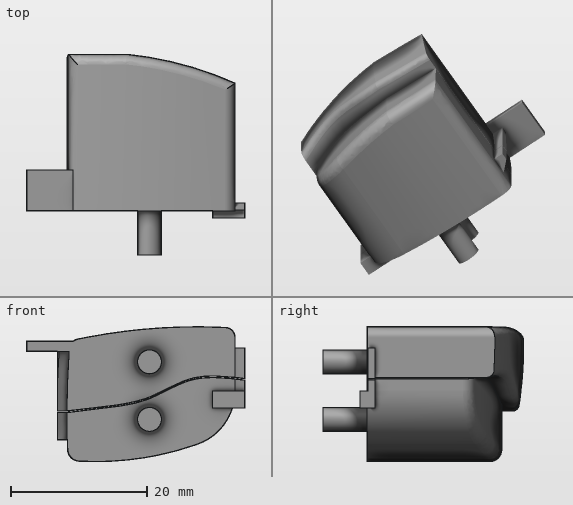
import cadquery as cq
import math


pin_diameter = 3.5
pin_length = 6.5
pin_spacing = 8.44

wall_left = -12.1
wall_left_z = 0.3
wall_left_radius = 142.0
wall_right = 12.55
roof_peak_x = 7.0
roof_peak_z = 13.59
roof_radius = 86.0
base_height = -6.2
base_peak_x = -7.9
base_radius = 45.0
top_fillet = 1.5
bottom_fillet = 1.8
bottom_right_fillet = 8.3

back_y = 22.94
round_start_x = -3.2
round_radius = 52.0
round_start_angle = math.radians(6.0)
lean_height = 10.6
lean_radius = 55.0
lower_inset = 3.2
upper_edge_fillet = 1.0
rear_start = 15.0

gap = 0.2
gap_curve = [
    (wall_left, 1.12), (-8.0, 1.6), (-4.0, 2.12), (0.0, 3.15),
    (3.5, 4.85), (6.5, 5.98), (9.5, 6.25), (14.0, 5.86),
]

plate_left = -18.02
plate_top = 11.46
plate_thickness = 1.5
plate_depth = 6.0

rib_left = -13.5
rib_front = 3.48
rib_back = 4.45
rib_bottom = -3.0
gusset_front = 2.0
gusset_reach = 1.47
root = 1.0

tab_right = 13.99
tab_top = 10.5
tab_front = 0.1
tab_back = 1.16
tab_bottom = 1.65
block_left = 9.24
block_top = 4.18
block_depth = 1.06

margin = 40.0


def box(x_range, y_range, z_range):
    sizes = [end - start for start, end in (x_range, y_range, z_range)]
    corner = (x_range[0], y_range[0], z_range[0])
    return cq.Workplane("XY").box(*sizes, centered=False).translate(corner)


def wall_left_x(z):
    """Position of the bowed left wall at a height."""
    rise = z - wall_left_z
    return wall_left + wall_left_radius - math.sqrt(wall_left_radius**2 - rise**2)


def roof_z(x):
    run = x - roof_peak_x
    return roof_peak_z - roof_radius + math.sqrt(roof_radius**2 - run**2)


def base_z(x):
    run = x - base_peak_x
    return base_height + base_radius - math.sqrt(base_radius**2 - run**2)


def along_y(sketch, start, end):
    """Extrude an XZ outline from Y = start to Y = end."""
    return sketch.extrude(start - end).translate((0, start, 0))


def outline_prism():
    """Whole housing before it is split, with sharp edges and no back wall."""
    top_left_z = roof_z(wall_left_x(plate_top))
    top_left = (wall_left_x(top_left_z), top_left_z)
    bottom_left = (wall_left_x(base_height), base_z(wall_left_x(base_height)))
    sketch = (
        cq.Workplane("XZ")
        .moveTo(*top_left)
        .threePointArc((roof_peak_x, roof_peak_z), (wall_right, roof_z(wall_right)))
        .lineTo(wall_right, base_z(wall_right))
        .threePointArc((0, base_z(0)), bottom_left)
        .threePointArc((wall_left, wall_left_z), top_left)
        .close()
    )
    return along_y(sketch, 0, margin)


def half_space(side):
    """Space above (side = 1) or below (side = -1) the gap."""
    shift = side * gap / 2
    points = [(x, z + shift) for x, z in gap_curve]
    sketch = (
        cq.Workplane("XZ")
        .moveTo(-margin, points[0][1])
        .lineTo(*points[0])
        .spline(points[1:], includeCurrent=True)
        .lineTo(margin, points[-1][1])
        .lineTo(margin, side * margin)
        .lineTo(-margin, side * margin)
        .close()
    )
    return along_y(sketch, -margin, margin)


def round_centre(back):
    """Plan centre and radius of the round stretch of a back wall whose flat stretch is at Y = back."""
    radius = round_radius - (back_y - back)
    start_x = round_start_x - (back_y - back) * math.tan(round_start_angle / 2)
    centre_x = start_x - radius * math.sin(round_start_angle)
    centre_y = back - radius * math.cos(round_start_angle)
    return centre_x, centre_y, radius


def leaning_profile(plane, reach, front):
    """Upright outline whose far edge curves toward the front below the lean height."""
    drop = lean_height - base_height
    foot = reach - lean_radius + math.sqrt(lean_radius**2 - drop**2)
    middle = reach - lean_radius + math.sqrt(lean_radius**2 - (drop / 2) ** 2)
    return (
        cq.Workplane(plane)
        .moveTo(front, base_height)
        .lineTo(foot, base_height)
        .threePointArc((middle, lean_height - drop / 2), (reach, lean_height))
        .lineTo(reach, margin)
        .lineTo(front, margin)
        .close()
    )


def upper_back_envelope():
    flat = leaning_profile("YZ", back_y, -margin).extrude(margin, both=True)
    centre_x, centre_y, radius = round_centre(back_y)
    turned = leaning_profile("XZ", radius, 0).revolve(360, (0, 0), (0, 1))
    return flat.intersect(turned.translate((centre_x, centre_y, 0)))


def lower_back_envelope():
    back = back_y - lower_inset
    flat = box((-margin, margin), (-margin, back), (-margin, margin))
    centre_x, centre_y, radius = round_centre(back)
    turned = cq.Workplane("XY").circle(radius).extrude(margin, both=True)
    return flat.intersect(turned.translate((centre_x, centre_y, 0)))


def pin(z):
    return along_y(cq.Workplane("XZ").center(0, z).circle(pin_diameter / 2), -pin_length, 0)


def rib():
    plate_bottom = plate_top - plate_thickness
    bar = box((rib_left, wall_left + root), (rib_front, rib_back), (rib_bottom, plate_bottom))
    foot_x = wall_left_x(rib_bottom)
    wall_path = (
        cq.Workplane("XZ")
        .moveTo(foot_x, rib_bottom)
        .threePointArc((wall_left, wall_left_z), (wall_left_x(plate_bottom), plate_bottom))
    )
    gusset = (
        cq.Workplane("XY", origin=(foot_x, 0, rib_bottom))
        .polyline([
            (0, gusset_front), (-gusset_reach, rib_front), (root, rib_front), (root, gusset_front),
        ])
        .close()
        .sweep(wall_path)
    )
    limit = box((rib_left, 0), (0, rib_back), (rib_bottom, plate_bottom))
    return bar.union(gusset.intersect(limit))


def tab():
    return box((wall_right - root, tab_right), (tab_front, tab_back), (tab_bottom, tab_top))


def front_block():
    return box((block_left, tab_right), (-block_depth, tab_front), (tab_bottom, block_top))


def plate():
    heights = (plate_top - plate_thickness, plate_top)
    return box((plate_left, wall_left + root), (0, plate_depth), heights)


def upper_half():
    space = half_space(1)
    shell = outline_prism().intersect(upper_back_envelope())
    shell = shell.faces(">Z").edges("not <Y").fillet(top_fillet)
    shell = shell.intersect(space)
    rear = cq.selectors.BoxSelector(
        (-margin, rear_start, -margin), (margin, margin, margin)
    )
    shell = shell.faces("<Z").edges(rear).fillet(upper_edge_fillet)
    attached = rib().union(tab()).intersect(space)
    return shell.union(attached).union(plate()).union(pin(pin_spacing))


def lower_half():
    space = half_space(-1)
    shell = outline_prism()
    shell = shell.edges("|Y").edges(">X").edges("<Z").fillet(bottom_right_fillet)
    shell = shell.intersect(lower_back_envelope())
    shell = shell.faces("<Z").edges("not <Y").edges("not >X").fillet(bottom_fillet)
    attached = rib().union(tab()).intersect(space)
    return shell.intersect(space).union(attached).union(front_block()).union(pin(0))


upper = upper_half()
lower = lower_half()
result = cq.Compound.makeCompound([*upper.solids().vals(), *lower.solids().vals()])